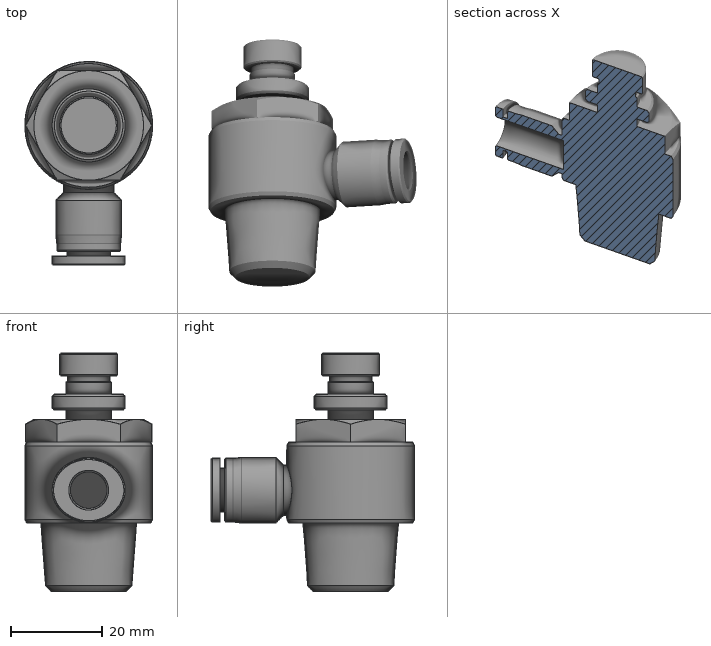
import cadquery as cq
import math

TOTAL_HEIGHT = 52.2
PORT_REACH = 30.6

THREAD_LENGTH = 15.0
THREAD_TOP_DIAMETER = 20.955
THREAD_TIP_DIAMETER = 18.9
TIP_CHAMFER = 1.3

BODY_DIAMETER = 28.0
BODY_HEIGHT = 17.7
BODY_CHAMFER_WIDTH = 0.45
BODY_CHAMFER_HEIGHT = 0.8

NUT_ACROSS_FLATS = 24.0
NUT_HEIGHT = 5.0
NUT_CHAMFER_ANGLE = 30.0
HEX_HALF_SECTOR_ANGLE = 30.0

STEM_DIAMETER = 10.0
STEM_TOP_CHAMFER = 0.2
LOCK_RING_DIAMETER = 16.0
LOCK_RING_GAP = 2.0
LOCK_RING_HEIGHT = 3.5
LOCK_RING_CHAMFER = 0.5
NECK_DIAMETER = 9.3
NECK_HEIGHT = 1.25
KNOB_DIAMETER = 12.7
KNOB_HEIGHT = 5.0
KNOB_CHAMFER = 0.3

PORT_AXIS_Z = 22.2
PORT_NECK_DIAMETER = 11.0
SLEEVE_DIAMETER = 14.4
COLLAR_DIAMETER = 14.0
GROOVE_DIAMETER = 9.6
SHOULDER_START = 14.7
SLEEVE_TAPER_START = 23.95
COLLAR_START = 25.8
COLLAR_END = 27.6
COLLAR_CHAMFER = 0.3
RELEASE_RING_WIDTH = 16.0
RELEASE_RING_DEPTH = 14.0
RELEASE_RING_THICKNESS = 2.0
RELEASE_RING_CHAMFER = 0.3
TUBE_BORE_DIAMETER = 8.0
TUBE_BORE_DEPTH = 17.0
TUBE_BORE_CHAMFER = 0.35

BODY_TOP = THREAD_LENGTH + BODY_HEIGHT
NUT_TOP = BODY_TOP + NUT_HEIGHT
KNOB_BOTTOM = TOTAL_HEIGHT - KNOB_HEIGHT
STEM_TOP = KNOB_BOTTOM - NECK_HEIGHT


def cylinder(diameter, bottom, top):
    """Upright cylinder on the Z axis."""
    return cq.Workplane("XY").workplane(offset=bottom).circle(diameter / 2).extrude(top - bottom)


def make_thread():
    top_radius = THREAD_TOP_DIAMETER / 2
    tip_radius = THREAD_TIP_DIAMETER / 2
    profile = [
        (0, 0),
        (tip_radius - TIP_CHAMFER, 0),
        (tip_radius, TIP_CHAMFER),
        (top_radius, THREAD_LENGTH),
        (0, THREAD_LENGTH),
    ]
    return cq.Workplane("XZ").polyline(profile).close().revolve(360, (0, 0), (0, 1))


def make_body():
    radius = BODY_DIAMETER / 2
    end_radius = radius - BODY_CHAMFER_WIDTH
    profile = [
        (0, THREAD_LENGTH),
        (end_radius, THREAD_LENGTH),
        (radius, THREAD_LENGTH + BODY_CHAMFER_HEIGHT),
        (radius, BODY_TOP - BODY_CHAMFER_HEIGHT),
        (end_radius, BODY_TOP),
        (0, BODY_TOP),
    ]
    return cq.Workplane("XZ").polyline(profile).close().revolve(360, (0, 0), (0, 1))


def make_nut():
    flat_radius = NUT_ACROSS_FLATS / 2
    across_corners = NUT_ACROSS_FLATS / math.cos(math.radians(HEX_HALF_SECTOR_ANGLE))
    hexagon = cq.Workplane("XY").workplane(offset=BODY_TOP).polygon(6, across_corners).extrude(NUT_HEIGHT)
    cone_slope = math.tan(math.radians(NUT_CHAMFER_ANGLE))
    outer_radius = flat_radius + (NUT_HEIGHT / 2) / cone_slope
    envelope = (
        cq.Workplane("XZ")
        .polyline([
            (0, BODY_TOP),
            (outer_radius, BODY_TOP),
            (outer_radius, NUT_TOP - NUT_HEIGHT / 2),
            (flat_radius, NUT_TOP),
            (0, NUT_TOP),
        ])
        .close()
        .revolve(360, (0, 0), (0, 1))
    )
    return hexagon.intersect(envelope)


def make_spindle():
    ring_bottom = NUT_TOP + LOCK_RING_GAP
    ring_top = ring_bottom + LOCK_RING_HEIGHT
    stem = cylinder(STEM_DIAMETER, NUT_TOP, STEM_TOP).faces(">Z").chamfer(STEM_TOP_CHAMFER)
    lock_ring = cylinder(LOCK_RING_DIAMETER, ring_bottom, ring_top).edges().chamfer(LOCK_RING_CHAMFER)
    neck = cylinder(NECK_DIAMETER, STEM_TOP, KNOB_BOTTOM)
    knob = cylinder(KNOB_DIAMETER, KNOB_BOTTOM, TOTAL_HEIGHT).faces("<Z or >Z").chamfer(KNOB_CHAMFER)
    return stem.union(lock_ring).union(neck).union(knob)


def make_port():
    """Port built along -Y, from the body axis to the outer face of the release ring."""
    neck_radius = PORT_NECK_DIAMETER / 2
    sleeve_radius = SLEEVE_DIAMETER / 2
    collar_radius = COLLAR_DIAMETER / 2
    groove_radius = GROOVE_DIAMETER / 2
    shoulder_end = SHOULDER_START + sleeve_radius - neck_radius
    ring_start = PORT_REACH - RELEASE_RING_THICKNESS
    profile = [
        (0, 0),
        (neck_radius, 0),
        (neck_radius, -SHOULDER_START),
        (sleeve_radius, -shoulder_end),
        (sleeve_radius, -SLEEVE_TAPER_START),
        (collar_radius, -COLLAR_START),
        (collar_radius, -COLLAR_END + COLLAR_CHAMFER),
        (collar_radius - COLLAR_CHAMFER, -COLLAR_END),
        (groove_radius, -COLLAR_END),
        (groove_radius, -ring_start),
        (0, -ring_start),
    ]
    turned = (
        cq.Workplane("XY", origin=(0, 0, PORT_AXIS_Z))
        .polyline(profile)
        .close()
        .revolve(360, (0, 0), (0, 1))
    )
    release_ring = (
        cq.Workplane("XZ", origin=(0, -ring_start, PORT_AXIS_Z))
        .ellipse(RELEASE_RING_WIDTH / 2, RELEASE_RING_DEPTH / 2)
        .extrude(RELEASE_RING_THICKNESS)
        .faces("<Y")
        .chamfer(RELEASE_RING_CHAMFER)
    )
    return turned.union(release_ring)


def make_tube_bore():
    """Cutter for the blind tube bore and its entry chamfer."""
    bore_radius = TUBE_BORE_DIAMETER / 2
    bore_end = PORT_REACH - TUBE_BORE_DEPTH
    profile = [
        (0, -bore_end),
        (bore_radius, -bore_end),
        (bore_radius, -PORT_REACH + TUBE_BORE_CHAMFER),
        (bore_radius + TUBE_BORE_CHAMFER, -PORT_REACH),
        (0, -PORT_REACH),
    ]
    return (
        cq.Workplane("XY", origin=(0, 0, PORT_AXIS_Z))
        .polyline(profile)
        .close()
        .revolve(360, (0, 0), (0, 1))
    )


result = (
    make_thread()
    .union(make_body())
    .union(make_nut())
    .union(make_spindle())
    .union(make_port())
    .cut(make_tube_bore())
)